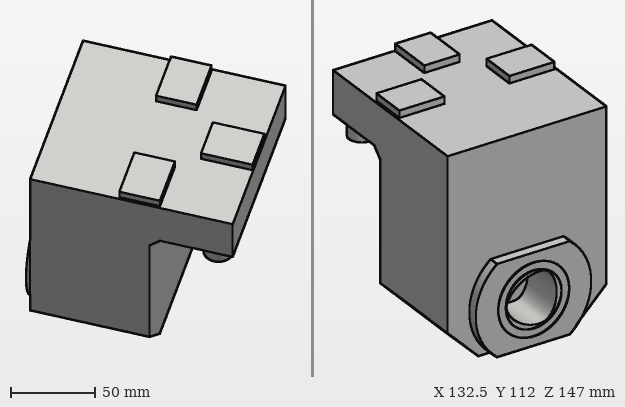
import cadquery as cq
import math

total_height = 147.0
body_width = 112.0
arm_length = 125.0
column_depth = 73.6
arm_thickness = 30.0
inner_chamfer = 6.5
bottom_chamfer = 21.8

pad_length = 31.8
pad_width = 25.0
pad_thickness = 5.0
side_pad_start = 54.7
side_pad_inset = 1.3
end_pad_inset = 0.5

pin_diameter = 18.0
pin_length = 12.0
pin_edge_distance = 12.3

flange_diameter = 81.5
flange_height = 63.2
flange_thickness = 7.0
ring_diameter = 50.0
ring_bore_diameter = 39.2
ring_thickness = 0.5

socket_mean_radius = 17.6
socket_lobe = 1.3
socket_depth = 30.0
socket_taper = 1 / 40
socket_points = 48

body_top = total_height - pad_thickness
arm_underside = body_top - arm_thickness
spindle_height = flange_height / 2


def make_body():
    """L-shaped block with its two lower long edges cut at 45 degrees."""
    side = (
        cq.Workplane("XZ")
        .moveTo(0, 0)
        .lineTo(column_depth, 0)
        .lineTo(column_depth, arm_underside - inner_chamfer)
        .lineTo(column_depth + inner_chamfer, arm_underside)
        .lineTo(arm_length, arm_underside)
        .lineTo(arm_length, body_top)
        .lineTo(0, body_top)
        .close()
        .extrude(body_width / 2, both=True)
    )
    return side.faces("<Z").edges("|X").chamfer(bottom_chamfer)


def make_pad(start_x, center_y, size_x, size_y):
    return (
        cq.Workplane("XY", origin=(start_x, center_y, body_top))
        .rect(size_x, size_y)
        .extrude(pad_thickness)
        .translate((size_x / 2, 0, 0))
    )


def make_pins():
    """Two pins under the outer corners of the arm."""
    center_x = arm_length - pin_edge_distance
    pin_y = body_width / 2 - pin_edge_distance
    return (
        cq.Workplane("XY", origin=(center_x, 0, arm_underside))
        .pushPoints([(0, -pin_y), (0, pin_y)])
        .circle(pin_diameter / 2)
        .extrude(-pin_length)
    )


def spindle_plane(x):
    """YZ plane at the given X, centred on the spindle axis."""
    return cq.Workplane("YZ", origin=(x, 0, spindle_height))


def make_flange():
    """Round plate with flats above and below, carrying a thin raised ring."""
    plate = spindle_plane(0).circle(flange_diameter / 2).extrude(-flange_thickness)
    flats = spindle_plane(0).rect(flange_diameter, flange_height).extrude(-flange_thickness)
    ring = (
        spindle_plane(-flange_thickness)
        .circle(ring_diameter / 2)
        .circle(ring_bore_diameter / 2)
        .extrude(-ring_thickness)
    )
    return plate.intersect(flats).union(ring)


def lobed_points(mean_radius):
    """Constant-width curve: tangent distance mean_radius + lobe * cos(3 * angle)."""
    points = []
    for i in range(socket_points):
        angle = 2 * math.pi * i / socket_points
        reach = mean_radius + socket_lobe * math.cos(3 * angle)
        slide = -3 * socket_lobe * math.sin(3 * angle)
        y = reach * math.cos(angle) - slide * math.sin(angle)
        z = reach * math.sin(angle) + slide * math.cos(angle)
        points.append((y, z))
    return points


def make_socket():
    floor_radius = socket_mean_radius - socket_depth * socket_taper
    return (
        spindle_plane(-flange_thickness)
        .spline(lobed_points(socket_mean_radius), periodic=True)
        .close()
        .workplane(offset=socket_depth)
        .spline(lobed_points(floor_radius), periodic=True)
        .close()
        .loft(ruled=True)
    )


result = make_body().union(make_pins()).union(make_flange())

side_pad_y = body_width / 2 - side_pad_inset - pad_length / 2
for center_y in (-side_pad_y, side_pad_y):
    result = result.union(make_pad(side_pad_start, center_y, pad_width, pad_length))

end_pad_start = arm_length - end_pad_inset - pad_length
result = result.union(make_pad(end_pad_start, 0, pad_length, pad_width))

result = result.cut(make_socket())